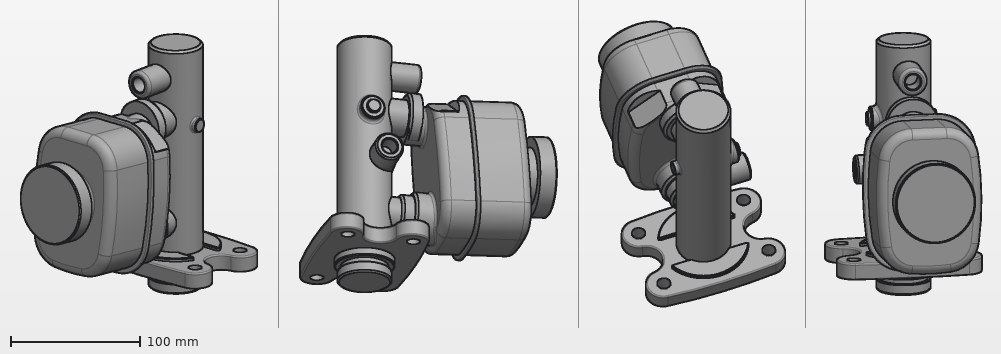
import cadquery as cq
import math


height = 199.5
barrel_radius = 21.2
barrel_chamfer = 2.0
tail_top = 8.8
tail_top_chamfer = 0.5
tail_chamfer = 1.4
groove_radius = 18.8
collar_bottom = 13.0
collar_radius = 23.5
collar_chamfer = 1.0

flange_bottom = 19.0
flange_top = 32.1
flange_edge_round = 1.2
ear_x = 43.5
ear_y = 26.1
ear_radius = 13.4
waist_x = 47.5
flange_half_depth = 41.5
hole_x = 43.7
hole_y = 26.3
hole_center = (-0.4, -0.4)
hole_radius = 5.2
pad_top = 34.7
pad_radius = 35.3
pad_chord_y = 13.5
pad_corner_round = 1.5
pad_edge_chamfer = 0.8

front_port_z = 175.8
front_port_radius = 11.2
front_port_reach = 43.3
front_port_round = 2.5
side_port_y = -9.5
side_port_z = 99.4
side_port_radius = 11.2
side_port_reach = 39.7
side_port_chamfer = 1.4
side_port_root_radius = 13.2
side_port_root_x = 20.0
bore_radius = 6.0
bore_depth = 16.0
bore_chamfer = 0.8

pin_z = 137.0
pin_radius = 5.4
pin_left = -29.0
pin_right = 25.3
pin_chamfer = 0.5
pin_root_round = 1.4
pin_boss_radius = 9.5
pin_boss_reach = 26.3
pin_boss_chamfer = 1.0
pin_boss_root_round = 2.8

upper_boss_z = 141.5
upper_boss_radius = 14.5
seal_radius = 20.2
seal_back = 31.7
seal_front = 41.7
neck_z = 136.5
neck_radius = 15.4
lower_boss_z = 58.7
lower_boss_radius = 14.5
middle_step_radius = 17.0
middle_step_start = 26.0
outer_step_radius = 20.0
outer_step_start = 36.1
step_chamfer = 2.0
tank_joint_round = 2.0

tilt = 4.6
lip_center_y = -77.5
lip_center_z = 96.2
tank_half_width = 41.3
tank_end_half_width = 35.1
tank_half_height = 57.3
tank_corner_height = 53.3
tank_corner_radius = 26.0
tank_back = 28.3
tank_front = 44.9
tank_back_round = 7.0
tank_front_round = 7.5
lip_thickness = 2.8
lip_overhang = 4.0
lip_edge_round = 1.0
flat_inner = (11.4, 57.0)
flat_outer = (37.1, 40.0)
flat_depth = 5.4
flat_end = 6.8
flat_end_slope = 2.4
cap_center_up = 3.0
stem_radius = 23.0
stem_base_round = 1.8
cap_radius = 31.3
cap_back = 55.0
cap_front = 68.6
cap_chamfer = 1.0

part_turn = -0.8

pick_margin = 1.0


def cylinder_along(direction, start, radius, length):
    return cq.Solid.makeCylinder(radius, length, cq.Vector(*start), cq.Vector(*direction))


def forward_cylinder(z, radius, start, end):
    return cq.Workplane(cylinder_along((0, -1, 0), (0, -start, z), radius, end - start))


def disc(radius, bottom, top):
    return cq.Workplane("XY").workplane(offset=bottom).circle(radius).extrude(top - bottom)


def root_box(x, z, radius):
    half = radius + pick_margin
    depth = barrel_radius - math.sqrt(barrel_radius**2 - radius**2) + pick_margin
    low = (x - depth, -half, z - half)
    high = (x + depth, half, z + half)
    return cq.selectors.BoxSelector(low, high, boundingbox=True)


def make_barrel():
    tail = disc(barrel_radius, 0, tail_top).faces("<Z").chamfer(tail_chamfer)
    tail = tail.faces(">Z").chamfer(tail_top_chamfer)
    groove = disc(groove_radius, tail_top, collar_bottom)
    collar = disc(collar_radius, collar_bottom, flange_bottom).faces("<Z").chamfer(collar_chamfer)
    body = disc(barrel_radius, flange_bottom, height).faces(">Z").chamfer(barrel_chamfer)
    return tail.union(groove).union(collar).union(body)


def make_flange():
    waist_drop = waist_x - ear_x
    ear_to_waist = math.hypot(waist_drop, ear_y)
    waist_radius = ear_to_waist - ear_radius
    touch_x = ear_x + waist_drop * ear_radius / ear_to_waist
    touch_y = ear_y - ear_y * ear_radius / ear_to_waist
    crown = flange_half_depth - ear_y
    crown_radius = (ear_x**2 + crown**2 - ear_radius**2) / (2 * (crown - ear_radius))
    crown_center_y = flange_half_depth - crown_radius
    crown_angle = math.atan2(ear_x, ear_y - crown_center_y)
    edge_x = ear_x + ear_radius * math.sin(crown_angle)
    edge_y = ear_y + ear_radius * math.cos(crown_angle)
    ear_out = ear_x + ear_radius
    waist_in = waist_x - waist_radius

    outline = (
        cq.Workplane("XY").workplane(offset=flange_bottom)
        .moveTo(-edge_x, edge_y)
        .threePointArc((0, flange_half_depth), (edge_x, edge_y))
        .threePointArc((ear_out, ear_y), (touch_x, touch_y))
        .threePointArc((waist_in, 0), (touch_x, -touch_y))
        .threePointArc((ear_out, -ear_y), (edge_x, -edge_y))
        .threePointArc((0, -flange_half_depth), (-edge_x, -edge_y))
        .threePointArc((-ear_out, -ear_y), (-touch_x, -touch_y))
        .threePointArc((-waist_in, 0), (-touch_x, touch_y))
        .threePointArc((-ear_out, ear_y), (-edge_x, edge_y))
        .close()
    )
    plate = outline.extrude(flange_top - flange_bottom)
    return plate.faces("<Z or >Z").edges().fillet(flange_edge_round)


def make_pad(side):
    chord_x = math.sqrt(pad_radius**2 - pad_chord_y**2)
    pad = (
        cq.Workplane("XY").workplane(offset=flange_bottom + flange_edge_round)
        .moveTo(-chord_x, side * pad_chord_y)
        .threePointArc((0, side * pad_radius), (chord_x, side * pad_chord_y))
        .close()
        .extrude(pad_top - flange_bottom - flange_edge_round)
    )
    return pad.edges("|Z").fillet(pad_corner_round).faces(">Z").edges().chamfer(pad_edge_chamfer)


def make_front_port():
    port = forward_cylinder(front_port_z, front_port_radius, 0, front_port_reach)
    return port.faces("<Y").edges().fillet(front_port_round)


def make_side_port():
    start = (0, side_port_y, side_port_z)
    port = cq.Workplane(cylinder_along((-1, 0, 0), start, side_port_radius, side_port_reach))
    port = port.faces("<X").edges().chamfer(side_port_chamfer)
    root = cq.Solid.makeCone(
        side_port_root_radius, side_port_radius, side_port_root_x, cq.Vector(*start), cq.Vector(-1, 0, 0)
    )
    return port.union(cq.Workplane(root))


def make_bore(direction, mouth):
    drill = cylinder_along(direction, mouth, bore_radius, bore_depth)
    mouth_cone = cq.Solid.makeCone(
        bore_radius + bore_chamfer, bore_radius, bore_chamfer, cq.Vector(*mouth), cq.Vector(*direction)
    )
    return cq.Workplane(drill).union(cq.Workplane(mouth_cone))


def add_stop_pin(barrel):
    pin = cq.Workplane(cylinder_along((1, 0, 0), (pin_left, 0, pin_z), pin_radius, pin_right - pin_left))
    pin = pin.faces("<X or >X").edges().chamfer(pin_chamfer)
    boss = cq.Workplane(cylinder_along((-1, 0, 0), (0, 0, pin_z), pin_boss_radius, pin_boss_reach))
    boss = boss.faces("<X").edges().chamfer(pin_boss_chamfer)
    joined = barrel.union(boss).union(pin)
    joined = joined.edges(root_box(-barrel_radius, pin_z, pin_boss_radius)).fillet(pin_boss_root_round)
    return joined.edges(root_box(barrel_radius, pin_z, pin_radius)).fillet(pin_root_round)


def chamfer_back(step):
    return step.faces(">Y").edges().chamfer(step_chamfer)


def make_reservoir_bosses():
    upper = forward_cylinder(upper_boss_z, upper_boss_radius, 0, seal_front)
    seal = chamfer_back(forward_cylinder(upper_boss_z, seal_radius, seal_back, seal_front))
    lower = forward_cylinder(lower_boss_z, lower_boss_radius, 0, middle_step_start)
    middle = chamfer_back(forward_cylinder(lower_boss_z, middle_step_radius, middle_step_start, outer_step_start))
    return upper.union(seal).union(lower).union(middle)


tilt_angle = math.radians(tilt)
tank_plane = cq.Plane(
    origin=(0, lip_center_y, lip_center_z),
    xDir=(1, 0, 0),
    normal=(0, -math.cos(tilt_angle), math.sin(tilt_angle)),
)


def tank_block(overhang, back, front):
    half_width = tank_half_width + overhang
    end_width = tank_end_half_width + overhang
    top = tank_half_height + overhang
    bottom = tank_corner_height + overhang
    block = (
        cq.Workplane(tank_plane).workplane(offset=back)
        .moveTo(-end_width, top)
        .lineTo(end_width, top)
        .threePointArc((half_width, 0), (end_width, -bottom))
        .threePointArc((0, -top), (-end_width, -bottom))
        .threePointArc((-half_width, 0), (-end_width, top))
        .close()
        .extrude(front - back)
    )
    corners = block.edges(cq.selectors.ParallelDirSelector(tank_plane.zDir))
    return corners.fillet(tank_corner_radius + overhang)


def make_flat_cutter(side):
    run_x = flat_outer[0] - flat_inner[0]
    run_y = flat_outer[1] - flat_inner[1]
    run = math.hypot(run_x, run_y)
    along = cq.Vector(side * run_x / run, run_y / run, 0)
    outward = cq.Vector(-side * run_y / run, run_x / run, 0)
    inner = cq.Vector(side * flat_inner[0], flat_inner[1], 0)
    reach = tank_half_height / 2
    back = -tank_back - tank_joint_round

    def corner(depth, rise):
        return tank_plane.toWorldCoords((inner + outward * rise + cq.Vector(0, 0, depth)).toTuple())

    slope_foot = -flat_end - flat_end_slope
    points = [
        corner(back, 0),
        corner(slope_foot, 0),
        corner(slope_foot + reach * flat_end_slope / flat_depth, reach),
        corner(back, reach),
    ]
    sweep = tank_plane.toWorldCoords((along * run).toTuple()) - tank_plane.origin
    return cq.Workplane(cq.Solid.extrudeLinear(cq.Wire.makePolygon(points, close=True), [], sweep))


def join_to_tank(tank, plug, z, radius):
    half = radius + pick_margin
    plug_start = plug.val().BoundingBox().ymax
    low = (-half, lip_center_y + tank_back / 2, z - half)
    high = (half, plug_start - 2 * step_chamfer, z + half)
    seam = cq.selectors.BoxSelector(low, high, boundingbox=True)
    return tank.union(plug).edges(seam).fillet(tank_joint_round)


def make_reservoir():
    tank = tank_block(0, -tank_back, tank_front)
    front_face = cq.selectors.DirectionMinMaxSelector(tank_plane.zDir, True)
    back_face = cq.selectors.DirectionMinMaxSelector(tank_plane.zDir, False)
    tank = tank.faces(front_face).edges().fillet(tank_front_round)
    tank = tank.faces(back_face).edges().fillet(tank_back_round)
    inside_tank = -lip_center_y - tank_back / 2
    neck = forward_cylinder(neck_z, neck_radius, seal_back, inside_tank)
    outer_step = chamfer_back(forward_cylinder(lower_boss_z, outer_step_radius, outer_step_start, inside_tank))
    tank = join_to_tank(tank, neck, neck_z, neck_radius)
    tank = join_to_tank(tank, outer_step, lower_boss_z, outer_step_radius)
    for side in (-1, 1):
        tank = tank.cut(make_flat_cutter(side))
    lip = tank_block(lip_overhang, -lip_thickness / 2, lip_thickness / 2)
    lip = lip.faces(front_face).edges().fillet(lip_edge_round)
    lip = lip.faces(back_face).edges().fillet(lip_edge_round)

    def cap_disc(radius, back, front):
        plane = cq.Workplane(tank_plane).workplane(offset=back)
        return plane.center(0, cap_center_up).circle(radius).extrude(front - back)

    stem = cap_disc(stem_radius, 0, cap_back)
    cap = cap_disc(cap_radius, cap_back, cap_front).faces(front_face).edges().chamfer(cap_chamfer)
    tank = tank.union(lip).union(stem)
    stem_seam_center = tank_plane.toWorldCoords((0, cap_center_up, tank_front))
    tank = tank.edges(cq.selectors.NearestToPointSelector(stem_seam_center.toTuple())).fillet(stem_base_round)
    return tank.union(cap)


def make_bolt_holes():
    return (
        cq.Workplane("XY").center(*hole_center)
        .rect(2 * hole_x, 2 * hole_y, forConstruction=True)
        .vertices()
        .circle(hole_radius)
        .extrude(pad_top)
    )


body = add_stop_pin(make_barrel()).union(make_flange())
for pad_side in (-1, 1):
    body = body.union(make_pad(pad_side))
body = body.union(make_front_port()).union(make_side_port())
body = body.cut(make_bore((0, 1, 0), (0, -front_port_reach, front_port_z)))
body = body.cut(make_bore((1, 0, 0), (-side_port_reach, side_port_y, side_port_z)))
body = body.union(make_reservoir_bosses()).union(make_reservoir())
body = body.rotate((0, 0, 0), (0, 0, 1), part_turn)
result = body.cut(make_bolt_holes())